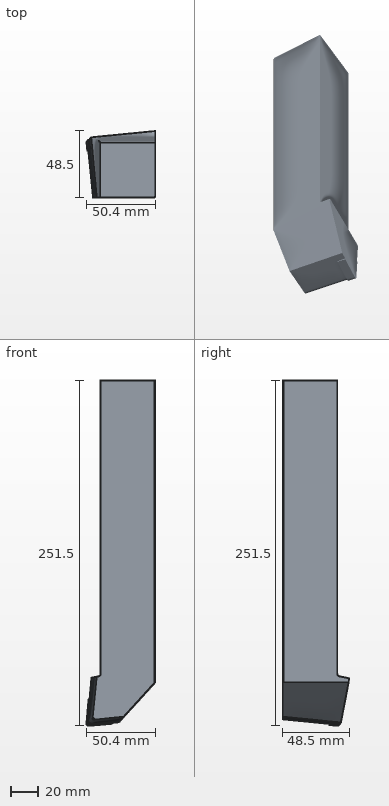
import cadquery as cq
import math

length = 251.4
shank = 40.0
edge_chamfer = 0.8
nose_offset = 10.3
clearance = 0.1
rake = 0.1
left_lean = 0.1
bottom_rise = 0.1
corner_x = -5.8
corner_z = 4.5
nose_radius = 2.0
shelf_z = 36.5
shelf_slope = 0.2
shelf_radius = 1.5
heel_z = 32.0
heel_slope = 1.1
tip_thickness = 6.3
tip_height = 19.4
tip_width = 18.9
tip_overhang = 0.8

head_rise = 12.5
reach = 75.5
slant_depth = 62.8


def slanted_prism(points):
    """Prism from an XZ outline at Y = 0, leaning to -X and -Z by the clearance.

    The first point is the lower left corner, which carries the nose radius.
    """
    outline = cq.Wire.makePolygon([cq.Vector(x, 0, z) for x, z in points], close=True)
    nose = min(outline.Vertices(), key=lambda v: math.dist((v.X, v.Z), points[0]))
    rounded = cq.Face.makeFromWires(outline).fillet2D(nose_radius, [nose]).outerWire()
    lean = clearance * slant_depth
    far_end = rounded.translate(cq.Vector(-lean, slant_depth, -lean))
    return cq.Workplane(cq.Solid.makeLoft([rounded, far_end], True))


def below_rake(depth):
    """Slab of the given depth whose upper side is the rake face through the nose."""
    plane = cq.Plane(
        origin=(-nose_offset, shank, 0), xDir=(1, rake, 0), normal=(-rake, 1, -rake)
    )
    side = 3 * length
    return cq.Workplane(plane).rect(side, side).extrude(-depth)


def shelf_outline(plane):
    """Shank outline with the filleted shelf on one side, in a plane of (out, Z)."""
    angle = math.atan(shelf_slope)
    centre_z = shelf_z - shelf_slope * shelf_radius + shelf_radius / math.cos(angle)
    middle = (math.pi / 2 + angle) / 2

    def on_fillet(turn):
        return (
            shelf_radius * (1 - math.cos(turn)),
            centre_z - shelf_radius * math.sin(turn),
        )

    return (
        cq.Workplane(plane)
        .moveTo(-shank, -reach)
        .lineTo(-shank, length)
        .lineTo(0, length)
        .lineTo(*on_fillet(0))
        .threePointArc(on_fillet(middle), on_fillet(math.pi / 2 - angle))
        .lineTo(reach, shelf_z - shelf_slope * reach)
        .lineTo(reach, -reach)
        .close()
    )


def make_tip():
    """Brazed cutting tip, flush with the rake face and proud of the two walls."""
    x = corner_x - tip_overhang
    z = corner_z - tip_overhang
    up = (left_lean * tip_height, tip_height)
    along = (tip_width, bottom_rise * tip_width)
    outline = [
        (x, z),
        (x + along[0], z + along[1]),
        (x + along[0] + up[0], z + along[1] + up[1]),
        (x + up[0], z + up[1]),
    ]
    return slanted_prism(outline).intersect(below_rake(tip_thickness))


def make_holder(tip):
    """Shank and head in one piece, with the seat for the tip."""
    wall_top = shelf_z + head_rise
    walls = slanted_prism([
        (corner_x, corner_z),
        (corner_x + reach, corner_z + bottom_rise * reach),
        (corner_x + reach, length + reach),
        (corner_x - reach, length + reach),
        (corner_x - reach, wall_top),
        (corner_x + left_lean * (wall_top - corner_z), wall_top),
    ])
    left_plane = cq.Plane(origin=(0, 0, 0), xDir=(-1, 0, 0), normal=(0, 1, 0))
    back_plane = cq.Plane(origin=(0, shank, 0), xDir=(0, 1, 0), normal=(1, 0, 0))
    left_shelf = shelf_outline(left_plane).extrude(slant_depth)
    back_shelf = shelf_outline(back_plane).extrude(2 * reach).translate((-reach, 0, 0))

    body = walls.intersect(left_shelf).intersect(back_shelf).intersect(below_rake(length))

    heel_width = heel_z / heel_slope
    heel = (
        cq.Workplane("XZ")
        .polyline([(shank, heel_z), (shank - 2 * heel_width, -heel_z), (shank, -heel_z)])
        .close()
        .extrude(-slant_depth)
    )
    edge = (
        cq.Workplane("XY")
        .polyline([(shank - edge_chamfer, 0), (shank, 0), (shank, edge_chamfer)])
        .close()
        .extrude(length)
    )
    return body.cut(heel).cut(edge).cut(tip)


tip = make_tip()
holder = make_holder(tip)
result = cq.Compound.makeCompound([holder.solids().val(), tip.solids().val()])